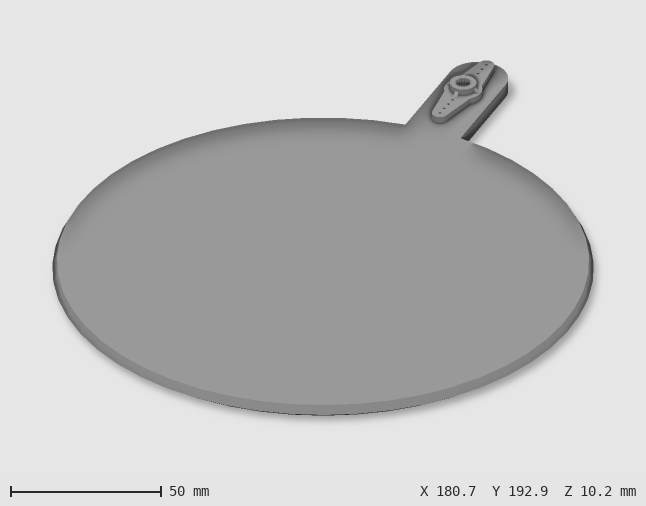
import cadquery as cq
import math

disc_radius = 89.7
plate_thickness = 5.0
rim_height = 2.1
top_bevel = 1.5
bottom_bevel = 2.9
handle_angle = 131.0
handle_width = 20.0
handle_reach = 123.5

hub_reach = 111.7
horn_angle = 128.0
horn_thickness = 2.7
hub_height = 2.5
hub_radius = 4.5
boss_radius = 6.4
arm_root_radius = 5.4
arm_length = 16.5
arm_tip_radius = 2.7

arm_hole_radius = 0.5
arm_hole_count = 4
first_arm_hole = 7.5
arm_hole_pitch = (arm_length - first_arm_hole) / (arm_hole_count - 1)

web_reach = 6.0
web_width = 1.4
web_height = 1.4

bushing_radius = 3.0
tooth_root_radius = 2.9
tooth_tip_radius = 2.3
tooth_count = 20
socket_depth = hub_height
bore_radius = 1.4

horn_top = plate_thickness + horn_thickness
hub_top = horn_top + hub_height
hub_x = hub_reach * math.cos(math.radians(handle_angle))
hub_y = hub_reach * math.sin(math.radians(handle_angle))


def cylinder(radius, bottom, top):
    """A vertical cylinder on the Z axis between two heights."""
    return cq.Workplane("XY").workplane(offset=bottom).circle(radius).extrude(top - bottom)


def to_hub(body):
    """Move a body from the origin to the hub axis and line it up with the arms."""
    return body.rotate((0, 0, 0), (0, 0, 1), horn_angle).translate((hub_x, hub_y, 0))


def make_plate():
    profile = [
        (0, 0),
        (disc_radius - bottom_bevel, 0),
        (disc_radius, rim_height),
        (disc_radius - top_bevel, plate_thickness),
        (0, plate_thickness),
    ]
    disc = cq.Workplane("XZ").polyline(profile).close().revolve(360, (0, 0, 0), (0, 1, 0))
    handle = (
        cq.Workplane("XY")
        .center(handle_reach / 2, 0)
        .rect(handle_reach, handle_width)
        .extrude(plate_thickness)
        .union(cylinder(handle_width / 2, 0, plate_thickness).translate((handle_reach, 0, 0)))
        .rotate((0, 0, 0), (0, 0, 1), handle_angle)
    )
    return disc.union(handle).cut(to_hub(cylinder(bore_radius, 0, plate_thickness)))


def make_arms():
    """Two arms tapering to round tips, joined by the round boss in the middle."""
    side_angle = math.acos((arm_root_radius - arm_tip_radius) / arm_length)
    root_x = arm_root_radius * math.cos(side_angle)
    root_y = arm_root_radius * math.sin(side_angle)
    tip_x = arm_length + arm_tip_radius * math.cos(side_angle)
    tip_y = arm_tip_radius * math.sin(side_angle)
    end_x = arm_length + arm_tip_radius
    arm = (
        cq.Workplane("XY")
        .workplane(offset=plate_thickness)
        .moveTo(0, root_y)
        .lineTo(root_x, root_y)
        .lineTo(tip_x, tip_y)
        .threePointArc((end_x, 0), (tip_x, -tip_y))
        .lineTo(root_x, -root_y)
        .lineTo(0, -root_y)
        .close()
        .extrude(horn_thickness)
    )
    boss = cylinder(boss_radius, plate_thickness, horn_top)
    arms = boss.union(arm).union(arm.mirror("YZ"))
    hole = cylinder(arm_hole_radius, plate_thickness, horn_top)
    for side in (-1, 1):
        for index in range(arm_hole_count):
            distance = first_arm_hole + index * arm_hole_pitch
            arms = arms.cut(hole.translate((side * distance, 0, 0)))
    return arms


def make_web():
    """One triangular web, sloping down from the hub wall to the arm face."""
    return (
        cq.Workplane("XZ", origin=(0, web_width / 2, 0))
        .polyline([(bushing_radius, horn_top), (web_reach, horn_top), (hub_radius, horn_top + web_height),
                   (bushing_radius, horn_top + web_height)])
        .close()
        .extrude(web_width)
    )


def make_horn():
    horn = make_arms().union(cylinder(hub_radius, horn_top, hub_top))
    for quarter in range(4):
        horn = horn.union(make_web().rotate((0, 0, 0), (0, 0, 1), 90 * quarter))
    return to_hub(horn.cut(cylinder(bushing_radius, plate_thickness, hub_top)))


def make_socket():
    """The toothed hollow: an outline that steps between the tooth roots and the tooth tips."""
    outline = []
    for index in range(2 * tooth_count):
        radius = tooth_root_radius if index % 2 == 0 else tooth_tip_radius
        angle = math.pi * index / tooth_count
        outline.append((radius * math.cos(angle), radius * math.sin(angle)))
    socket_floor = hub_top - socket_depth
    return cq.Workplane("XY").workplane(offset=socket_floor).polyline(outline).close().extrude(socket_depth)


def make_bushing():
    bushing = cylinder(bushing_radius, plate_thickness, hub_top)
    bore = cylinder(bore_radius, plate_thickness, hub_top)
    return to_hub(bushing.cut(make_socket()).cut(bore))


plate = make_plate()
horn = make_horn()
bushing = make_bushing()

result = cq.Compound.makeCompound([plate.val(), horn.val(), bushing.val()])